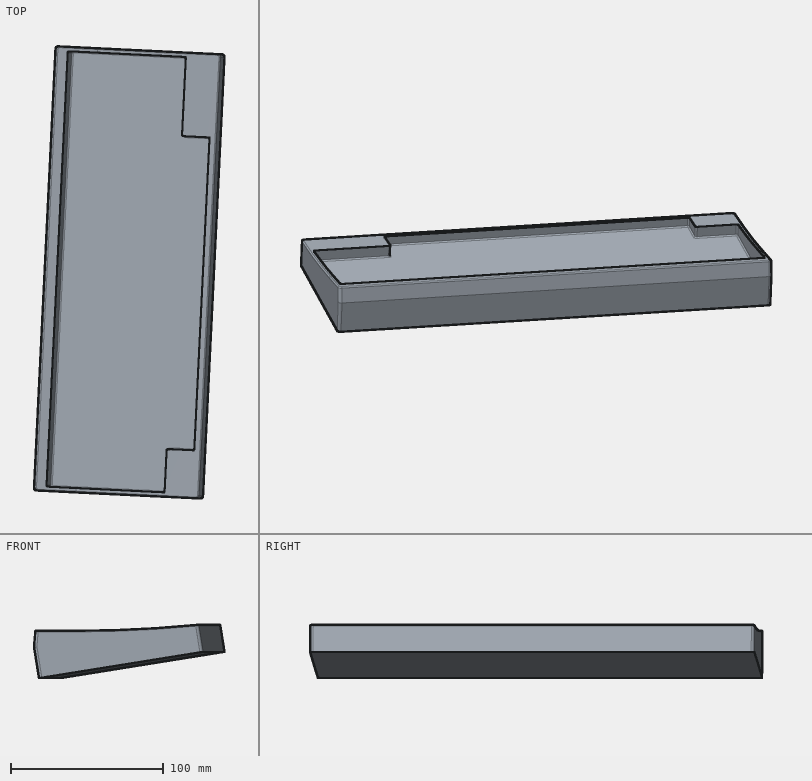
import cadquery as cq
import math

length = 292.7
yaw = -2.8
tilt = 9.1
base_width = 109.5
back_height = 18.2
bend_height = 20.8
rim_height = 31.3
rim_lean = 1.0
curve_start = 24.5
corner_radius = 2.0
steep = 0.9
edge_radius = 1.0

floor_thickness = 12.0
front_ledge = 9.8
back_wall = 4.5
end_wall = 3.0
recess_corner_radius = 1.2
cut_height = 44.7

block_width = 22.5
far_block_length = 55.0
near_block_length = 31.5


def on_slope(along, above):
    """XZ point given by its distances along and above the tilted underside."""
    angle = math.radians(tilt)
    return (
        along * math.cos(angle) - above * math.sin(angle),
        along * math.sin(angle) + above * math.cos(angle),
    )


def make_body():
    bend = on_slope(0, bend_height)
    back_bottom = on_slope(base_width, 0)
    back_top = on_slope(base_width, back_height)
    front_top = (bend[0] + rim_lean, rim_height)

    return (
        cq.Workplane("XZ")
        .polyline([back_top, back_bottom, (0, 0), bend, front_top])
        .lineTo(curve_start, rim_height)
        .tangentArcPoint(back_top, relative=False)
        .close()
        .extrude(-length)
    )


def round_corners(body):
    """Round the four uprights, including both stretches of the bent front ones."""
    uprights = [edge for edge in body.edges().vals() if abs(edge.tangentAt(0.5).z) > steep]
    return body.newObject(uprights).fillet(corner_radius)


def round_rim(body):
    """Round the outer rim all the way round the level front and the rising curve."""
    rim_front = (on_slope(0, bend_height)[0] + rim_lean, length / 2, rim_height)
    front_edge = body.edges("|Y").edges(cq.selectors.NearestToPointSelector(rim_front))
    return front_edge.fillet(edge_radius)


def make_recess():
    """Recess outline, less the two corner blocks, raised square to its floor."""
    left = front_ledge
    right = base_width - back_wall
    block_side = base_width - block_width
    near = end_wall
    far = length - end_wall
    outline = [
        (left, near),
        (block_side, near),
        (block_side, near_block_length),
        (right, near_block_length),
        (right, length - far_block_length),
        (block_side, length - far_block_length),
        (block_side, far),
        (left, far),
    ]
    return (
        cq.Workplane("XY")
        .workplane(offset=floor_thickness)
        .polyline(outline)
        .close()
        .extrude(cut_height)
        .edges("|Z")
        .fillet(recess_corner_radius)
        .faces("<Z")
        .edges()
        .fillet(edge_radius)
        .rotate((0, 0, 0), (0, 1, 0), -tilt)
    )


body = round_rim(round_corners(make_body()))
result = body.cut(make_recess()).rotate((0, 0, 0), (0, 0, 1), yaw)